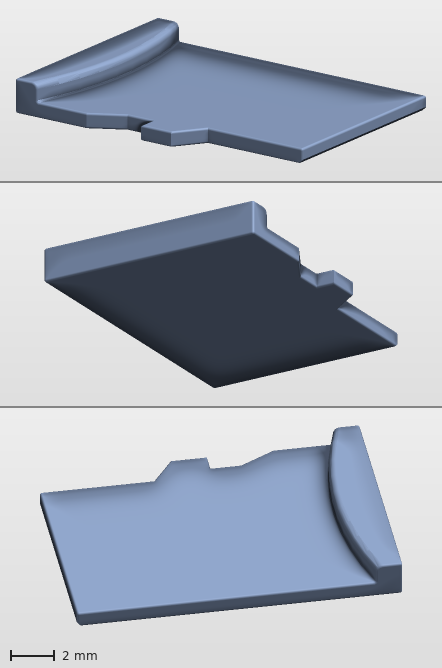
import cadquery as cq

length = 15.06
width = 11.17
height = 1.65
plate_thickness = 0.74

ramp_start_x = 3.99
ramp_end_x = 5.65
notch_end_x = 7.05
tab_end_x = 8.73
narrow_start_x = 9.76
notch_depth = 0.9
narrow_step = 1.43

lip_end_x = 1.2
lip_middle_x = 2.15
lip_top_radius = 0.3
lip_base_radius = 0.09

edge_radius = 0.1
lead_in_chamfer = 0.21
tolerance = 0.002


def make_plate():
    """Flat card body with the notched -Y edge."""
    return (
        cq.Workplane("XY")
        .moveTo(0, 0)
        .lineTo(ramp_start_x, 0)
        .lineTo(ramp_end_x, notch_depth)
        .lineTo(notch_end_x, notch_depth)
        .lineTo(notch_end_x, 0)
        .lineTo(tab_end_x, 0)
        .lineTo(narrow_start_x, narrow_step)
        .lineTo(length, narrow_step)
        .lineTo(length, width)
        .lineTo(0, width)
        .close()
        .extrude(plate_thickness)
    )


def make_lip():
    """Full-height grip with an arc-shaped inner wall."""
    return (
        cq.Workplane("XY")
        .lineTo(lip_end_x, 0)
        .threePointArc((lip_middle_x, width / 2), (lip_end_x, width))
        .lineTo(0, width)
        .close()
        .extrude(height)
    )


def arc_edge_at(z):
    """Selector for the curved lip edge lying at height z."""
    box = cq.selectors.BoxSelector(
        (0, 0, z - tolerance), (length, width, z + tolerance)
    )
    return cq.selectors.TypeSelector("CIRCLE") & box


def is_outer_edge(edge):
    """True for rim edges and outer corners; the vertical notch corners stay sharp."""
    center = edge.Center()
    is_line = edge.geomType() == "LINE"
    is_vertical = is_line and abs(edge.tangentAt(0.5).z) > 0.15 - tolerance
    at_end = center.x < tolerance or center.x > length - tolerance
    at_lip = abs(center.x - lip_end_x) < lip_base_radius
    return not is_vertical or at_end or at_lip


card = make_plate().union(make_lip())

card = card.edges(arc_edge_at(height)).fillet(lip_top_radius)
card = card.edges(arc_edge_at(plate_thickness)).fillet(lip_base_radius)

card = card.faces("#Z and %PLANE").edges().filter(is_outer_edge).fillet(edge_radius)

lead_in = (
    cq.Workplane("XZ")
    .moveTo(length - lead_in_chamfer, 0)
    .lineTo(length, lead_in_chamfer)
    .lineTo(length, 0)
    .close()
    .extrude(-width)
)

result = card.cut(lead_in)